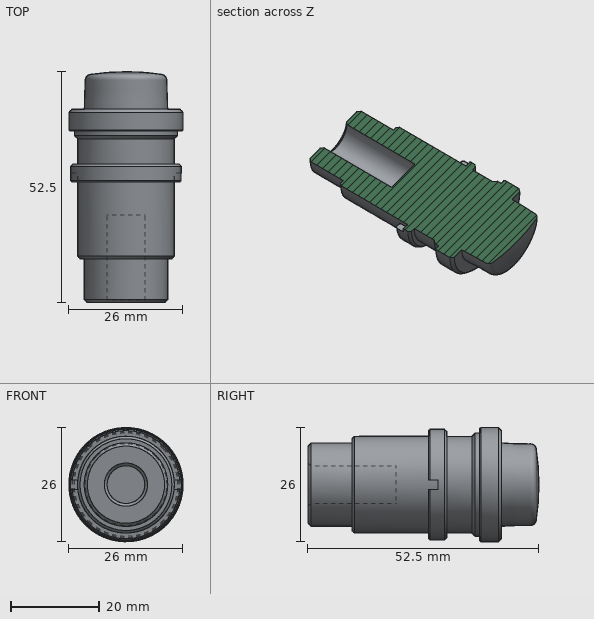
import cadquery as cq

total_length = 52.5

nose_radius = 19.0 / 2
nose_length = 10.0
nose_chamfer = 0.75
body_radius = 22.0 / 2
body_chamfer = 0.6

ring_start = 27.4
ring_end = 31.55
ring_radius = 12.6
ring_front_chamfer_length = 0.35
ring_front_chamfer_depth = 0.3
ring_back_chamfer = 0.6

notch_width = 2.1
notch_depth = 2.1

shoulder_radius = 23.5 / 2
shoulder_start = 37.2
shoulder_chamfer = shoulder_radius - body_radius

collar_radius = 26.0 / 2
collar_start = 39.0
collar_end = 44.0
collar_front_chamfer = 0.25
collar_back_chamfer = 0.75

cap_base_radius = 19.0 / 2
cap_side_radius = 9.3
cap_side_end = 50.4
cap_corner_mid = (9.0, 51.4)
dome_rim_radius = 8.2
dome_rim_height = 51.85
dome_height = total_length - dome_rim_height
dome_sphere_radius = (dome_rim_radius**2 + dome_height**2) / (2 * dome_height)
dome_mid_radius = dome_rim_radius / 2
dome_mid_height = (
    total_length - dome_sphere_radius + (dome_sphere_radius**2 - dome_mid_radius**2) ** 0.5
)

bore_radius = 8.55 / 2
bore_depth = 19.95
bore_chamfer = 0.65


def revolve_about_y(profile):
    """Revolve a closed profile of (radius, Y) points about the Y axis."""
    return profile.close().revolve(360, (0, 0, 0), (0, 1, 0))


def make_shaft():
    """Stepped nose, body, shoulder, collar and domed cap."""
    profile = (
        cq.Workplane("XY")
        .moveTo(0, 0)
        .lineTo(nose_radius - nose_chamfer, 0)
        .lineTo(nose_radius, nose_chamfer)
        .lineTo(nose_radius, nose_length)
        .lineTo(body_radius - body_chamfer, nose_length)
        .lineTo(body_radius, nose_length + body_chamfer)
        .lineTo(body_radius, shoulder_start)
        .lineTo(shoulder_radius, shoulder_start + shoulder_chamfer)
        .lineTo(shoulder_radius, collar_start)
        .lineTo(collar_radius - collar_front_chamfer, collar_start)
        .lineTo(collar_radius, collar_start + collar_front_chamfer)
        .lineTo(collar_radius, collar_end - collar_back_chamfer)
        .lineTo(collar_radius - collar_back_chamfer, collar_end)
        .lineTo(cap_base_radius, collar_end)
        .lineTo(cap_side_radius, cap_side_end)
        .threePointArc(cap_corner_mid, (dome_rim_radius, dome_rim_height))
        .threePointArc((dome_mid_radius, dome_mid_height), (0, total_length))
    )
    return revolve_about_y(profile)


def make_notched_ring():
    """Ring with a notch on each X side, cut down to the body surface."""
    profile = (
        cq.Workplane("XY")
        .moveTo(0, ring_start)
        .lineTo(ring_radius - ring_front_chamfer_depth, ring_start)
        .lineTo(ring_radius, ring_start + ring_front_chamfer_length)
        .lineTo(ring_radius, ring_end - ring_back_chamfer)
        .lineTo(ring_radius - ring_back_chamfer, ring_end)
        .lineTo(0, ring_end)
    )
    notch_bar = cq.Workplane("XY").box(2 * collar_radius, notch_depth, notch_width)
    notch_bar = notch_bar.translate((0, ring_start + notch_depth / 2, 0))
    return revolve_about_y(profile).cut(notch_bar)


def make_bore():
    """Flat-bottomed bore with a chamfered mouth."""
    profile = (
        cq.Workplane("XY")
        .moveTo(0, 0)
        .lineTo(bore_radius + bore_chamfer, 0)
        .lineTo(bore_radius, bore_chamfer)
        .lineTo(bore_radius, bore_depth)
        .lineTo(0, bore_depth)
    )
    return revolve_about_y(profile)


result = make_shaft().union(make_notched_ring()).cut(make_bore())